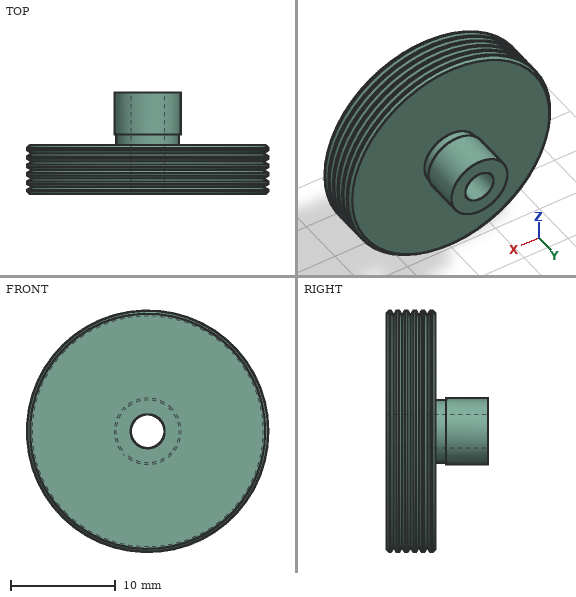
import cadquery as cq
import math

DISC_DIAMETER = 23.0
DISC_THICKNESS = 4.7
RIM_CHAMFER = 0.3

GROOVE_COUNT = 5
GROOVE_PITCH = 0.8
GROOVE_DEPTH = 0.5
GROOVE_ANGLE = 60.0

NECK_DIAMETER = 6.0
NECK_LENGTH = 1.0
HUB_DIAMETER = 6.35
HUB_LENGTH = 4.0

BORE_DIAMETER = 3.2

OVERALL_LENGTH = DISC_THICKNESS + NECK_LENGTH + HUB_LENGTH


def cylinder(diameter, start_y, length):
    """Solid cylinder on the Y axis, running from start_y toward +Y."""
    base = cq.Workplane("XZ", origin=(0, start_y, 0))
    return base.circle(diameter / 2).extrude(-length)


def rim_groove(center_y):
    """Ring with a triangular section that cuts one V-groove into the rim."""
    rim_radius = DISC_DIAMETER / 2
    half_width = GROOVE_DEPTH * math.tan(math.radians(GROOVE_ANGLE / 2))
    section = cq.Workplane("XY").polyline([
        (rim_radius, center_y - half_width),
        (rim_radius - GROOVE_DEPTH, center_y),
        (rim_radius, center_y + half_width),
    ]).close()
    return section.revolve(360, (0, 0, 0), (0, 1, 0))


def grooved_disc():
    disc = cylinder(DISC_DIAMETER, 0, DISC_THICKNESS).edges().chamfer(RIM_CHAMFER)
    for index in range(GROOVE_COUNT):
        center_y = DISC_THICKNESS - (index + 1) * GROOVE_PITCH
        disc = disc.cut(rim_groove(center_y))
    return disc


def stepped_hub():
    neck = cylinder(NECK_DIAMETER, DISC_THICKNESS, NECK_LENGTH)
    hub = cylinder(HUB_DIAMETER, DISC_THICKNESS + NECK_LENGTH, HUB_LENGTH)
    return neck.union(hub)


bore = cylinder(BORE_DIAMETER, 0, OVERALL_LENGTH)

result = grooved_disc().union(stepped_hub()).cut(bore)